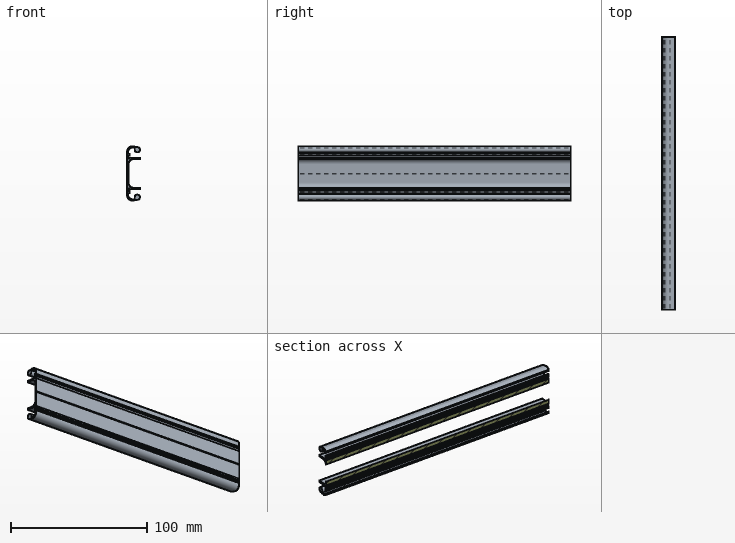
import cadquery as cq

length = 200.0
width = 9.5
height = 40.0
half_height = height / 2

web_thickness = 1.2
edge_web_thickness = 0.8
corner_radius = 4.2
lip_thickness = 1.2
lip_drop = 0.5

bead_radius = 2.0
bead_flat_x = width - 2 * bead_radius
bead_x = width - bead_radius
bead_z = half_height - lip_drop - bead_radius

flange_top = 11.5
flange_thickness = 1.2
flange_bottom = flange_top - flange_thickness
flange_fillet = 3.5
relief_depth = 0.5
relief_end_x = 1.8

rib_top = 14.5
rib_bottom = 12.8
rib_end_x = 2.0
groove_z = 13.5
groove_width = 1.0
center_groove_width = 0.5
groove_depth = 0.2

root_half = 0.5 ** 0.5


def extrude_profile(profile):
    """Extrude an XZ profile along the full length, centred on Y."""
    return profile.extrude(length / 2, both=True)


def upper_half():
    """Upper half of the section: web, rib, flange, curved lip and bead."""
    inner_radius_x = corner_radius - edge_web_thickness
    inner_radius_z = corner_radius - lip_thickness
    center_z = half_height - corner_radius
    fillet_mid = flange_fillet * (1 - root_half)

    wall = extrude_profile(
        cq.Workplane("XZ")
        .moveTo(0, 0)
        .lineTo(0, center_z)
        .threePointArc(
            (corner_radius * (1 - root_half), center_z + corner_radius * root_half),
            (corner_radius, half_height),
        )
        .lineTo(bead_x, half_height - lip_drop)
        .lineTo(bead_x, bead_z)
        .lineTo(bead_flat_x, bead_z)
        .lineTo(bead_flat_x, half_height - lip_thickness)
        .lineTo(corner_radius, half_height - lip_thickness)
        .threePointArc(
            (corner_radius - inner_radius_x * root_half, center_z + inner_radius_z * root_half),
            (edge_web_thickness, center_z),
        )
        .lineTo(edge_web_thickness, rib_top)
        .lineTo(rib_end_x, rib_top)
        .lineTo(rib_end_x, rib_bottom)
        .lineTo(edge_web_thickness, rib_bottom)
        .lineTo(edge_web_thickness, flange_top - relief_depth)
        .lineTo(relief_end_x, flange_top - relief_depth)
        .lineTo(relief_end_x, flange_top)
        .lineTo(width, flange_top)
        .lineTo(width, flange_bottom)
        .lineTo(web_thickness + flange_fillet, flange_bottom)
        .threePointArc(
            (web_thickness + fillet_mid, flange_bottom - fillet_mid),
            (web_thickness, flange_bottom - flange_fillet),
        )
        .lineTo(web_thickness, 0)
        .close()
    )
    bead = extrude_profile(cq.Workplane("XZ").center(bead_x, bead_z).circle(bead_radius))
    return wall.union(bead)


def v_groove(z, groove_opening):
    """Cutter for a shallow V groove along the outer face."""
    return extrude_profile(
        cq.Workplane("XZ").polyline(
            [(0, z - groove_opening / 2), (groove_depth, z), (0, z + groove_opening / 2)]
        ).close()
    )


upper = upper_half()
result = upper.union(upper.mirror("XY"))
for z, groove_opening in (
    (groove_z, groove_width),
    (0, center_groove_width),
    (-groove_z, groove_width),
):
    result = result.cut(v_groove(z, groove_opening))